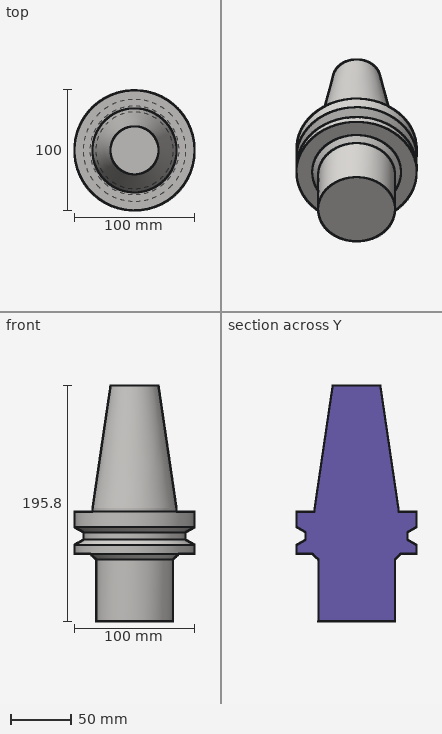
import cadquery as cq

total_length = 195.8

shank_diameter = 64.0
collar_diameter = 73.8
flange_diameter = 100.0
groove_diameter = 85.0
taper_large_diameter = 69.9
taper_small_diameter = 40.0

taper_length = 101.8
gauge_land_length = 3.0
upper_flange_length = 13.0
groove_flank_length = 4.3
groove_floor_length = 6.0
lower_flange_length = 7.5
collar_length = 4.7

taper_base_z = total_length - taper_length
flange_top_z = taper_base_z - gauge_land_length
groove_top_z = flange_top_z - upper_flange_length
floor_top_z = groove_top_z - groove_flank_length
floor_bottom_z = floor_top_z - groove_floor_length
groove_bottom_z = floor_bottom_z - groove_flank_length
flange_bottom_z = groove_bottom_z - lower_flange_length
collar_bottom_z = flange_bottom_z - collar_length

section = [
    (shank_diameter, 0),
    (shank_diameter, collar_bottom_z),
    (collar_diameter, flange_bottom_z),
    (flange_diameter, flange_bottom_z),
    (flange_diameter, groove_bottom_z),
    (groove_diameter, floor_bottom_z),
    (groove_diameter, floor_top_z),
    (flange_diameter, groove_top_z),
    (flange_diameter, flange_top_z),
    (taper_large_diameter, flange_top_z),
    (taper_large_diameter, taper_base_z),
    (taper_small_diameter, total_length),
]

outline = [(0, 0)]
outline += [(diameter / 2, z) for diameter, z in section]
outline += [(0, total_length)]

result = cq.Workplane("XZ").polyline(outline).close().revolve(360, (0, 0, 0), (0, 1, 0))